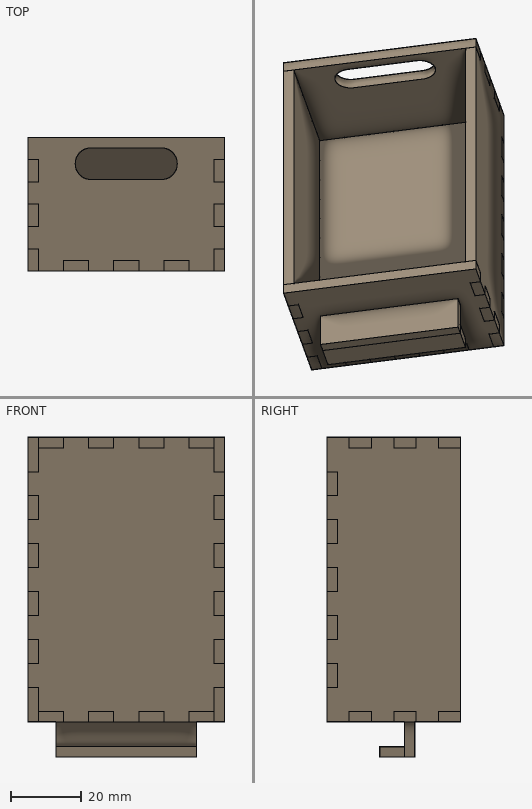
import cadquery as cq


SHEET = 3.0
BOX_WIDTH = 56.0
BOX_DEPTH = 38.0
BOX_HEIGHT = 81.0

FRONT_X_FINGERS = 7
FRONT_Z_FINGERS = 11
SIDE_Y_FINGERS = 6

SLOT_LENGTH = 29.0
SLOT_WIDTH = 9.0
SLOT_BACK_MARGIN = 3.0

HOOK_WIDTH = 40.0
HOOK_DROP = 10.0
HOOK_BACK_OFFSET = 13.0
LIP_LENGTH = 7.0

OUTER_X = BOX_WIDTH / 2
INNER_X = OUTER_X - SHEET
CEILING_Z = BOX_HEIGHT - SHEET
X_PITCH = 2 * INNER_X / FRONT_X_FINGERS
Y_PITCH = BOX_DEPTH / SIDE_Y_FINGERS
Z_PITCH = (CEILING_Z - SHEET) / FRONT_Z_FINGERS
HOOK_PLATE_BACK = BOX_DEPTH - HOOK_BACK_OFFSET
HOOK_PLATE_FRONT = HOOK_PLATE_BACK - SHEET


def block(x_range, y_range, z_range):
    """Box between two limits on each axis."""
    low, high = zip(x_range, y_range, z_range)
    size = [end - start for start, end in zip(low, high)]
    return cq.Workplane("XY").box(*size, centered=False).translate(low)


def finger_spans(start, pitch, count, first):
    """Limits of every second finger of a joint line, beginning with finger number `first`."""
    return [(start + i * pitch, start + (i + 1) * pitch) for i in range(first, count, 2)]


FRONT_EDGE = (0, SHEET)
FLOOR_EDGE = (0, SHEET)
CEILING_EDGE = (CEILING_Z, BOX_HEIGHT)
LEFT_EDGE = (-OUTER_X, -INNER_X)
RIGHT_EDGE = (INNER_X, OUTER_X)


def horizontal_panel(z_range):
    """Top or bottom panel: even fingers at the front, odd fingers at the sides."""
    panel = block((-INNER_X, INNER_X), (SHEET, BOX_DEPTH), z_range)
    for x_range in finger_spans(-INNER_X, X_PITCH, FRONT_X_FINGERS, first=0):
        panel = panel.union(block(x_range, FRONT_EDGE, z_range))
    for y_range in finger_spans(0, Y_PITCH, SIDE_Y_FINGERS, first=1):
        for x_range in (LEFT_EDGE, RIGHT_EDGE):
            panel = panel.union(block(x_range, y_range, z_range))
    return panel.clean()


def side_panel(x_range):
    """Left or right panel: even fingers on all joint lines, including the front corners."""
    panel = block(x_range, (SHEET, BOX_DEPTH), (SHEET, CEILING_Z))
    for z_range in finger_spans(SHEET, Z_PITCH, FRONT_Z_FINGERS, first=0):
        panel = panel.union(block(x_range, FRONT_EDGE, z_range))
    for y_range in finger_spans(0, Y_PITCH, SIDE_Y_FINGERS, first=0):
        for z_range in (FLOOR_EDGE, CEILING_EDGE):
            panel = panel.union(block(x_range, y_range, z_range))
    return panel.clean()


def front_panel():
    """Front panel: odd fingers on all four edges."""
    panel = block((-INNER_X, INNER_X), FRONT_EDGE, (SHEET, CEILING_Z))
    for x_range in finger_spans(-INNER_X, X_PITCH, FRONT_X_FINGERS, first=1):
        for z_range in (FLOOR_EDGE, CEILING_EDGE):
            panel = panel.union(block(x_range, FRONT_EDGE, z_range))
    for z_range in finger_spans(SHEET, Z_PITCH, FRONT_Z_FINGERS, first=1):
        for x_range in (LEFT_EDGE, RIGHT_EDGE):
            panel = panel.union(block(x_range, FRONT_EDGE, z_range))
    return panel.clean()


def hand_slot():
    """Round-ended cutter that passes through the top panel near its back edge."""
    slot_y = BOX_DEPTH - SLOT_BACK_MARGIN - SLOT_WIDTH / 2
    return (
        cq.Workplane("XY", origin=(0, slot_y, CEILING_Z))
        .slot2D(SLOT_LENGTH, SLOT_WIDTH)
        .extrude(SHEET)
    )


def hook_piece(y_range, height):
    """Flat hook piece that rises from the lowest level of the hook."""
    return block((-HOOK_WIDTH / 2, HOOK_WIDTH / 2), y_range, (-HOOK_DROP, height - HOOK_DROP))


bottom_panel = horizontal_panel(FLOOR_EDGE)
top_panel = horizontal_panel(CEILING_EDGE).cut(hand_slot())
side_panels = [side_panel(x_range) for x_range in (LEFT_EDGE, RIGHT_EDGE)]
front = front_panel()
hook_plate = hook_piece((HOOK_PLATE_FRONT, HOOK_PLATE_BACK), HOOK_DROP)
hook_lip = hook_piece((HOOK_PLATE_FRONT - LIP_LENGTH, HOOK_PLATE_FRONT), SHEET)

result = cq.Compound.makeCompound([
    bottom_panel.val(),
    top_panel.val(),
    *[panel.val() for panel in side_panels],
    front.val(),
    hook_plate.val(),
    hook_lip.val(),
])